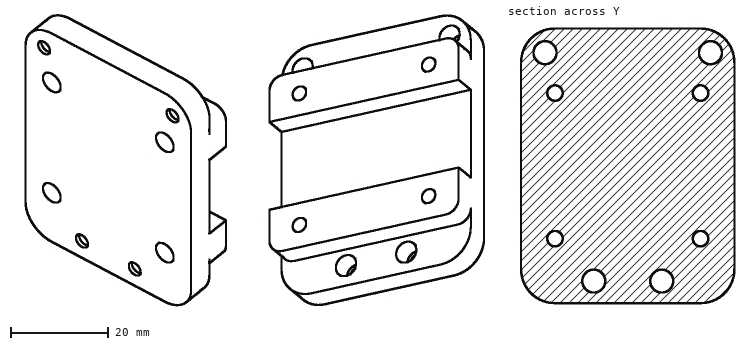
import cadquery as cq

plate_width = 44.0
plate_height = 56.65
plate_thickness = 6.0
plate_corner_radius = 7.0

total_depth = 11.4
bar_depth = total_depth - plate_thickness
bar_outer_z = 20.075
bar_inner_z = 10.0
bar_corner_radius = 3.0

screw_diameter = 3.15
pocket_diameter = 4.7
pocket_depth = 5.0

bar_hole_spacing = 30.0

top_hole_spacing = 34.1
top_hole_inset = 5.0
top_hole_z = plate_height / 2 - top_hole_inset
bottom_hole_spacing = 14.0
bottom_hole_inset = 4.575
bottom_hole_z = bottom_hole_inset - plate_height / 2


def cylinder_along_y(diameter, x, z, start_y, length):
    """Cylinder that starts at start_y and runs toward +Y."""
    plane = cq.Workplane("XZ", origin=(x, start_y, z))
    return plane.circle(diameter / 2).extrude(-length)


def make_plate():
    blank = cq.Workplane("XZ").rect(plate_width, plate_height).extrude(-plate_thickness)
    return blank.edges("|Y").fillet(plate_corner_radius)


def make_bar(side):
    """Spacer bar above (side = 1) or below (side = -1) the plate centre, outer corners rounded."""
    bar_center_z = side * (bar_outer_z + bar_inner_z) / 2
    bar = (
        cq.Workplane("XZ", origin=(0, plate_thickness, 0))
        .center(0, bar_center_z)
        .rect(plate_width, bar_outer_z - bar_inner_z)
        .extrude(-bar_depth)
    )
    outer_face = ">Z" if side > 0 else "<Z"
    return bar.faces(outer_face).edges("|Y").fillet(bar_corner_radius)


def cut_pocketed_hole(body, x, z, length, pocket_start_y):
    body = body.cut(cylinder_along_y(screw_diameter, x, z, 0, length))
    return body.cut(cylinder_along_y(pocket_diameter, x, z, pocket_start_y, pocket_depth))


def cut_bar_holes(body):
    for x in (-bar_hole_spacing / 2, bar_hole_spacing / 2):
        for z in (-bar_hole_spacing / 2, bar_hole_spacing / 2):
            body = cut_pocketed_hole(body, x, z, total_depth, 0)
    return body


def cut_plate_holes(body):
    pocket_start_y = plate_thickness - pocket_depth
    for spacing, z in ((top_hole_spacing, top_hole_z), (bottom_hole_spacing, bottom_hole_z)):
        for x in (-spacing / 2, spacing / 2):
            body = cut_pocketed_hole(body, x, z, plate_thickness, pocket_start_y)
    return body


result = make_plate()
for bar_side in (1, -1):
    result = result.union(make_bar(bar_side))
result = cut_bar_holes(result)
result = cut_plate_holes(result)